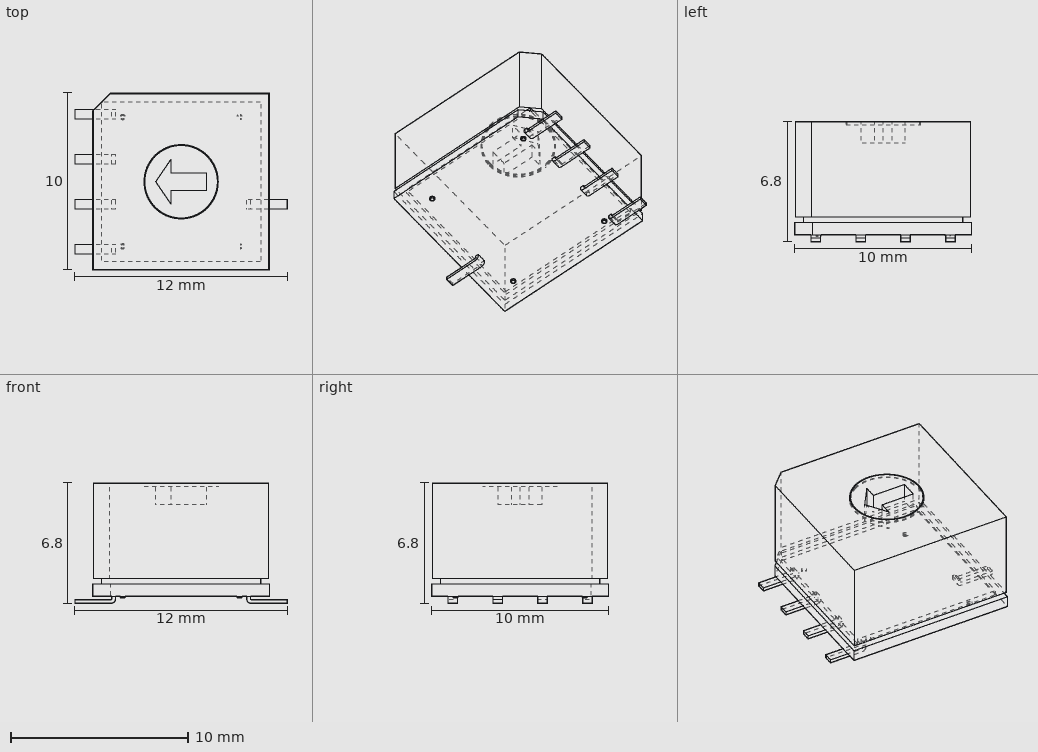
import cadquery as cq


overall_length = 12.0
overall_height = 6.8

base_side = 10.0
base_bottom = 0.4
base_top = 1.1
neck_side = 9.0
cover_side = 9.9
cover_bottom = 1.4
base_corner_cut = 1.0

rotor_diameter = 4.1
rotor_hole_diameter = 4.2
rotor_gap_depth = 0.2
arrow_length = 2.87
arrow_head_length = 0.85
arrow_head_width = 2.5
arrow_shaft_width = 1.0
arrow_depth = 1.2

lead_width = 0.55
lead_thickness = 0.22
lead_pitch = 2.54
lead_inner_radius = 0.04
lead_outer_radius = lead_inner_radius + lead_thickness
lead_root_x = 3.7
left_lead_rows = [-1.5, -0.5, 0.5, 1.5]
right_lead_rows = [-0.5]

foot_diameter = 0.3
foot_height = 0.1
foot_chamfer = 0.05
foot_x = 3.3
foot_y = 3.65


def square_block(side, bottom, top):
    return cq.Workplane("XY").workplane(offset=bottom).rect(side, side).extrude(top - bottom)


def cut_corner_block(side, bottom, top):
    """Square block whose (-X, +Y) corner is cut on the same plane for every side length."""
    corner_cut = base_corner_cut - (base_side - side)
    return square_block(side, bottom, top).edges("|Z and <X and >Y").chamfer(corner_cut)


def body():
    base = cut_corner_block(base_side, base_bottom, base_top)
    neck = square_block(neck_side, base_top, cover_bottom)
    cover = cut_corner_block(cover_side, cover_bottom, overall_height)
    return base.union(neck).union(cover)


def rotor_gap():
    """Thin ring-shaped gap around the rotor."""
    return (
        cq.Workplane("XY")
        .workplane(offset=overall_height - rotor_gap_depth)
        .circle(rotor_hole_diameter / 2)
        .circle(rotor_diameter / 2)
        .extrude(rotor_gap_depth)
    )


def arrow_pocket():
    """Arrow-shaped screwdriver slot pointing toward -X."""
    tip_x = -arrow_length / 2
    tail_x = arrow_length / 2
    head_x = tip_x + arrow_head_length
    half_head = arrow_head_width / 2
    half_shaft = arrow_shaft_width / 2
    outline = [
        (tip_x, 0),
        (head_x, half_head),
        (head_x, half_shaft),
        (tail_x, half_shaft),
        (tail_x, -half_shaft),
        (head_x, -half_shaft),
        (head_x, -half_head),
    ]
    return (
        cq.Workplane("XY")
        .workplane(offset=overall_height - arrow_depth)
        .polyline(outline)
        .close()
        .extrude(arrow_depth)
    )


def right_lead(center_y):
    """Bent lead that drops from the base and runs out toward +X."""
    tip_x = overall_length / 2
    outer_bend_x = lead_root_x + lead_outer_radius
    inner_face_x = lead_root_x + lead_thickness
    return (
        cq.Workplane("XZ", origin=(0, center_y, 0))
        .moveTo(tip_x, 0)
        .lineTo(outer_bend_x, 0)
        .radiusArc((lead_root_x, lead_outer_radius), lead_outer_radius)
        .lineTo(lead_root_x, base_bottom)
        .lineTo(inner_face_x, base_bottom)
        .lineTo(inner_face_x, lead_outer_radius)
        .radiusArc((outer_bend_x, lead_thickness), -lead_inner_radius)
        .lineTo(tip_x, lead_thickness)
        .close()
        .extrude(lead_width / 2, both=True)
    )


def left_lead(center_y):
    return right_lead(center_y).mirror("YZ")


def feet():
    return (
        cq.Workplane("XY")
        .workplane(offset=base_bottom - foot_height)
        .rect(2 * foot_x, 2 * foot_y, forConstruction=True)
        .vertices()
        .circle(foot_diameter / 2)
        .extrude(foot_height)
        .faces("<Z")
        .edges()
        .chamfer(foot_chamfer)
    )


result = body().cut(rotor_gap()).cut(arrow_pocket()).union(feet())
for row in left_lead_rows:
    result = result.union(left_lead(row * lead_pitch))
for row in right_lead_rows:
    result = result.union(right_lead(row * lead_pitch))